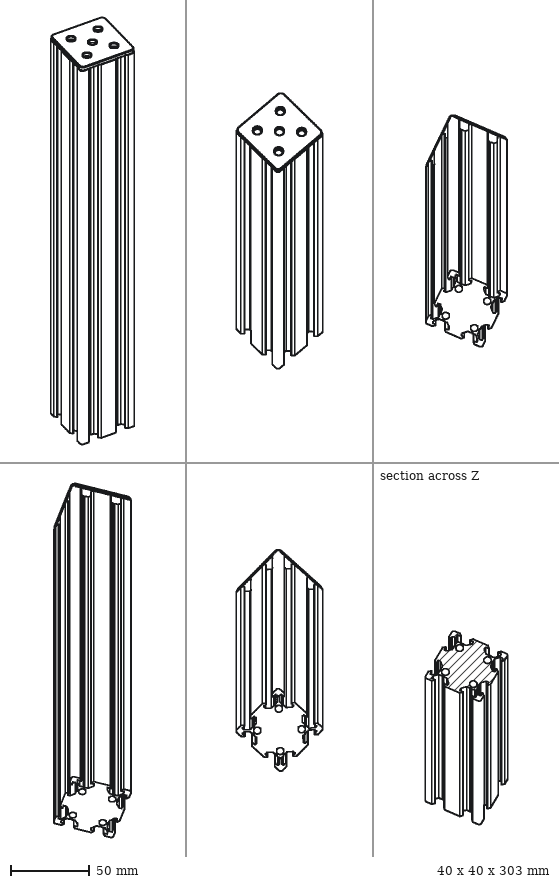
import cadquery as cq

SIDE = 40.0
PROFILE_LENGTH = 300.0
CAP_THICKNESS = 3.0

CELL_PITCH = SIDE / 2
CELL_OFFSET = CELL_PITCH / 2
PROFILE_CORNER_RADIUS = 1.6
CORE_BORE_DIAMETER = 4.6

SLOT_MOUTH_WIDTH = 9.2
SLOT_NECK_WIDTH = 6.4
SLOT_MOUTH_DEPTH = (SLOT_MOUTH_WIDTH - SLOT_NECK_WIDTH) / 2
SLOT_LIP_DEPTH = 2.0
SLOT_CAVITY_WIDTH = 11.0
SLOT_FLOOR_WIDTH = 5.7
SLOT_DEPTH = 6.2
CAVITY_TAPER_DEPTH = (SLOT_CAVITY_WIDTH - SLOT_FLOOR_WIDTH) / 2
SLOT_SHOULDER_DEPTH = SLOT_DEPTH - CAVITY_TAPER_DEPTH

FLOOR_GROOVE_WIDTH = 1.0
FLOOR_GROOVE_DEPTH = FLOOR_GROOVE_WIDTH / 2

CAP_CORNER_RADIUS = 3.0
CAP_EDGE_CHAMFER = 0.5
CAP_HOLE_DIAMETER = 5.2

CELL_CENTRES = [(x, y) for x in (-CELL_OFFSET, CELL_OFFSET) for y in (-CELL_OFFSET, CELL_OFFSET)]


def slot_cutter(centre_x):
    """Full-length prism of one V-slot opening on the -Y face."""
    half_section = [
        (SLOT_MOUTH_WIDTH / 2, 0),
        (SLOT_NECK_WIDTH / 2, SLOT_MOUTH_DEPTH),
        (SLOT_NECK_WIDTH / 2, SLOT_LIP_DEPTH),
        (SLOT_CAVITY_WIDTH / 2, SLOT_LIP_DEPTH),
        (SLOT_CAVITY_WIDTH / 2, SLOT_SHOULDER_DEPTH),
        (SLOT_FLOOR_WIDTH / 2, SLOT_DEPTH),
        (FLOOR_GROOVE_WIDTH / 2, SLOT_DEPTH),
        (FLOOR_GROOVE_WIDTH / 2, SLOT_DEPTH + FLOOR_GROOVE_DEPTH),
    ]
    other_half = [(-x, depth) for x, depth in reversed(half_section)]
    points = [(centre_x + x, depth - SIDE / 2) for x, depth in half_section + other_half]
    return cq.Workplane("XY").polyline(points).close().extrude(PROFILE_LENGTH)


def make_profile():
    """Extruded bar with two V-slots on each side and a bore through each cell."""
    bar = (
        cq.Workplane("XY")
        .rect(SIDE, SIDE)
        .extrude(PROFILE_LENGTH)
        .edges("|Z")
        .fillet(PROFILE_CORNER_RADIUS)
    )
    for quarter_turn in range(4):
        for centre_x in (-CELL_OFFSET, CELL_OFFSET):
            bar = bar.cut(slot_cutter(centre_x).rotate((0, 0, 0), (0, 0, 1), 90 * quarter_turn))
    bores = (
        cq.Workplane("XY")
        .pushPoints(CELL_CENTRES)
        .circle(CORE_BORE_DIAMETER / 2)
        .extrude(PROFILE_LENGTH)
    )
    return bar.cut(bores)


def make_cap():
    """Square end plate with five holes, chamfered on every top and bottom edge."""
    plate = (
        cq.Workplane("XY")
        .workplane(offset=PROFILE_LENGTH)
        .rect(SIDE, SIDE)
        .extrude(CAP_THICKNESS)
        .edges("|Z")
        .fillet(CAP_CORNER_RADIUS)
    )
    holes = (
        cq.Workplane("XY")
        .workplane(offset=PROFILE_LENGTH)
        .pushPoints(CELL_CENTRES + [(0, 0)])
        .circle(CAP_HOLE_DIAMETER / 2)
        .extrude(CAP_THICKNESS)
    )
    drilled_plate = plate.cut(holes)
    return drilled_plate.faces("<Z or >Z").edges().chamfer(CAP_EDGE_CHAMFER)


profile = make_profile()
cap = make_cap()

result = cq.Compound.makeCompound([profile.val(), cap.val()])